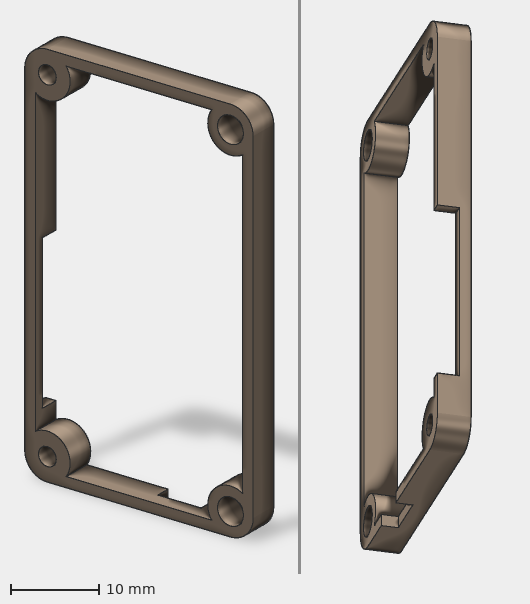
import cadquery as cq

width = 32.0
depth = 4.0
height = 54.0

side_wall = 1.5
end_wall = 1.4
corner_radius = 3.2
boss_radius = corner_radius
small_hole_diameter = 2.5
large_hole_diameter = 3.6

side_notch_bottom = 8.25
side_notch_length = 21.3
side_notch_depth = 2.6

bottom_notch_left = 17.2
bottom_notch_length = 6.05
bottom_notch_depth = 2.0

boss_x = width / 2 - corner_radius
boss_z = height / 2 - corner_radius


def box_from(x, y, z, size_x, size_y, size_z):
    """Box with its lowest corner at the given point."""
    return cq.Workplane("XY").box(size_x, size_y, size_z, centered=False).translate((x, y, z))


def cylinders(x, radius):
    """Full-depth cylinders along Y at the upper and lower corners on one side."""
    return (
        cq.Workplane("XZ")
        .pushPoints([(x, -boss_z), (x, boss_z)])
        .circle(radius)
        .extrude(depth / 2, both=True)
    )


frame = cq.Workplane("XY").box(width, depth, height).edges("|Y").fillet(corner_radius)
window = cq.Workplane("XY").box(width - 2 * side_wall, depth, height - 2 * end_wall)
frame = frame.cut(window)

for side in (-1, 1):
    frame = frame.union(cylinders(side * boss_x, boss_radius))
frame = frame.cut(cylinders(-boss_x, small_hole_diameter / 2))
frame = frame.cut(cylinders(boss_x, large_hole_diameter / 2))

side_notch = box_from(
    -width / 2,
    depth / 2 - side_notch_depth,
    -height / 2 + side_notch_bottom,
    side_wall,
    side_notch_depth,
    side_notch_length,
)
bottom_notch = box_from(
    -width / 2 + bottom_notch_left,
    depth / 2 - bottom_notch_depth,
    -height / 2,
    bottom_notch_length,
    bottom_notch_depth,
    end_wall,
)

result = frame.cut(side_notch).cut(bottom_notch)